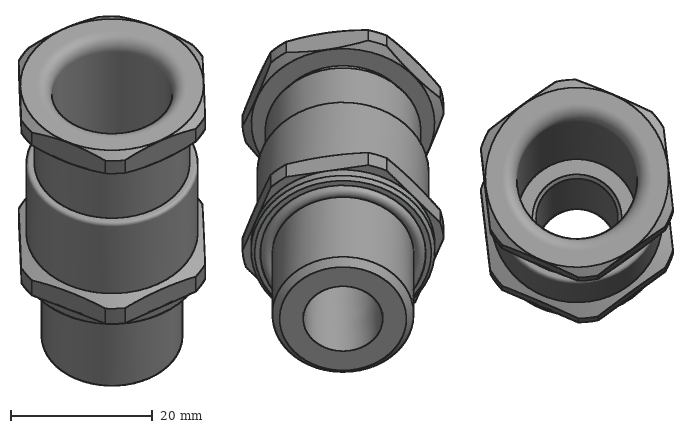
import cadquery as cq

total_height = 51.75
across_flats = 26.0
hex_corner_dia = 28.5

nut_head_height = 4.15
nut_head_face_dia = 25.9
nut_bevel_height = 0.8
undercut_dia = 20.0
undercut_length = 1.95
nut_thread_dia = 22.0
nut_bore_dia = 16.95
nut_mouth_radius = 2.0

barrel_dia = 24.25
barrel_top = 36.0
barrel_edge_radius = 0.5
hex_top = 21.95
hex_bottom = 18.0
body_bevel_height = 0.9
collar_bottom = 16.1
collar_edge_chamfer = 0.5
entry_thread_dia = 20.0
entry_end_chamfer = 1.05

seat_height = hex_top
passage_top_dia = 11.6
passage_mouth_chamfer = 0.5
passage_bottom_dia = 11.25

ring_section_dia = 1.7
ring_centre_radius = (entry_thread_dia + ring_section_dia) / 2
ring_bottom = 15.0
ring_centre_height = ring_bottom + ring_section_dia / 2


def cylinder(diameter, bottom, top):
    """Upright cylinder on the Z axis between two heights."""
    return cq.Workplane("XY").workplane(offset=bottom).circle(diameter / 2).extrude(top - bottom)


def tapered_plug(bottom_dia, top_dia, bottom, top):
    """Upright cone frustum on the Z axis between two heights."""
    base = cq.Vector(0, 0, bottom)
    return cq.Workplane(cq.Solid.makeCone(bottom_dia / 2, top_dia / 2, top - bottom, pnt=base))


def bevelled(prism, face_dia, face_height, drop):
    """Cut a hexagon's corners back to a cone that starts at face_dia on its end face.

    The cone meets the rounded corners at a height of drop from the face; a negative drop
    bevels a top face and a positive one a bottom face.
    """
    face_radius = face_dia / 2
    corner_radius = hex_corner_dia / 2
    corner_height = face_height + drop
    corner_ring = (
        cq.Workplane("XZ")
        .moveTo(face_radius, face_height)
        .lineTo(across_flats, face_height)
        .lineTo(across_flats, corner_height)
        .lineTo(corner_radius, corner_height)
        .close()
        .revolve(360, (0, 0, 0), (0, 1, 0))
    )
    return prism.cut(corner_ring)


def hexagon(bottom, top):
    """Hexagonal prism with flats facing +X and -X and its corners turned round."""
    prism = (
        cq.Workplane("XY")
        .workplane(offset=bottom)
        .polygon(6, across_flats, circumscribed=True)
        .extrude(top - bottom)
    )
    return prism.intersect(cylinder(hex_corner_dia, bottom, top))


def make_sealing_ring():
    """Round-section ring that hugs the entry thread."""
    return (
        cq.Workplane("XZ")
        .center(ring_centre_radius, ring_centre_height)
        .circle(ring_section_dia / 2)
        .revolve(360, (-ring_centre_radius, 0, 0), (-ring_centre_radius, 1, 0))
    )


def make_pressure_nut():
    head_bottom = total_height - nut_head_height
    thread_top = head_bottom - undercut_length
    head = hexagon(head_bottom, total_height)
    head = bevelled(head, nut_head_face_dia, total_height, -nut_bevel_height)
    head = bevelled(head, nut_head_face_dia, head_bottom, nut_bevel_height)
    undercut = cylinder(undercut_dia, thread_top, head_bottom)
    thread = cylinder(nut_thread_dia, seat_height, thread_top)
    nut = head.union(undercut).union(thread)
    nut = nut.cut(cylinder(nut_bore_dia, seat_height, total_height))
    bore_edge = cq.selectors.RadiusNthSelector(0)
    return nut.faces(">Z").edges(bore_edge).fillet(nut_mouth_radius)


def make_body():
    barrel = cylinder(barrel_dia, hex_top, barrel_top).faces(">Z").edges().fillet(barrel_edge_radius)
    hex_flange = hexagon(hex_bottom, hex_top)
    hex_flange = bevelled(hex_flange, barrel_dia, hex_top, -body_bevel_height)
    collar = cylinder(across_flats, collar_bottom, hex_bottom)
    collar = collar.faces("<Z").chamfer(collar_edge_chamfer)
    entry_thread = cylinder(entry_thread_dia, 0, collar_bottom).faces("<Z").chamfer(entry_end_chamfer)
    body = barrel.union(hex_flange).union(collar).union(entry_thread)

    nut_socket = cylinder(nut_thread_dia, seat_height, barrel_top)
    mouth_bottom = seat_height - passage_mouth_chamfer
    mouth_dia = passage_top_dia + 2 * passage_mouth_chamfer
    passage = tapered_plug(passage_bottom_dia, passage_top_dia, 0, mouth_bottom)
    mouth = tapered_plug(passage_top_dia, mouth_dia, mouth_bottom, seat_height)
    return body.cut(nut_socket).cut(passage).cut(mouth).cut(make_sealing_ring())


pressure_nut = make_pressure_nut()
body = make_body()
sealing_ring = make_sealing_ring()

result = cq.Compound.makeCompound([pressure_nut.val(), body.val(), sealing_ring.val()])